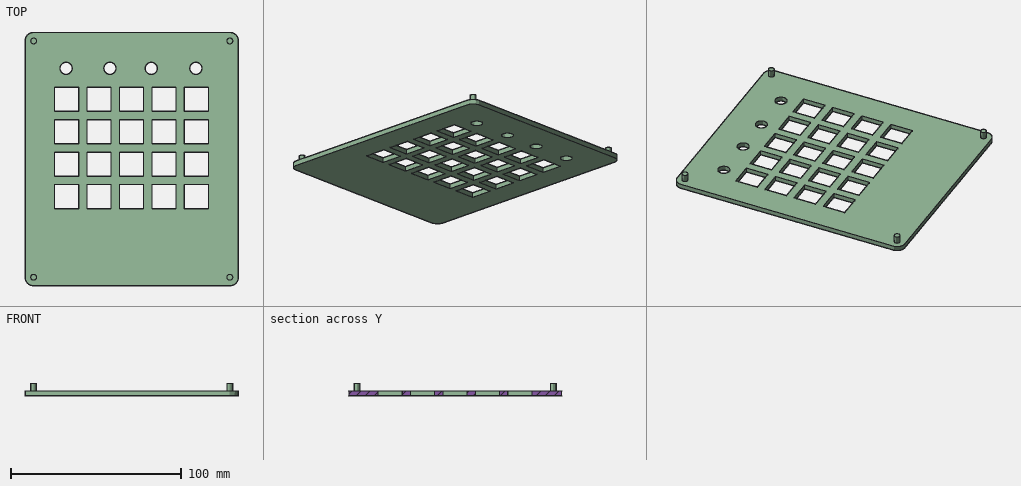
import cadquery as cq

plate_width = 125.5
plate_length = 149.0
plate_thickness = 3.0
corner_radius = 5.0

total_height = 7.5
pin_diameter = 3.5
pin_height = total_height - plate_thickness
pin_spacing_x = plate_width - 2 * corner_radius
pin_spacing_y = plate_length - 2 * corner_radius

key_columns = 5
key_rows = 4
key_pitch = 19.0
key_size = 14.0
key_grid_x = -0.1
key_grid_y = 6.5

round_hole_diameter = 7.0
round_hole_y = 53.3
round_hole_x_positions = (-38.6, -12.8, 11.5, 37.7)


def make_plate():
    """Flat plate with rounded vertical corners."""
    plate = cq.Workplane("XY").box(
        plate_width, plate_length, plate_thickness, centered=(True, True, False)
    )
    return plate.edges("|Z").fillet(corner_radius)


def cut_key_openings(body):
    """Cut the square openings right through the plate."""
    openings = (
        cq.Workplane("XY")
        .center(key_grid_x, key_grid_y)
        .rarray(key_pitch, key_pitch, key_columns, key_rows)
        .rect(key_size, key_size)
        .extrude(plate_thickness)
    )
    return body.cut(openings)


def cut_round_holes(body):
    """Cut the row of round holes right through the plate."""
    holes = (
        cq.Workplane("XY")
        .pushPoints([(x, round_hole_y) for x in round_hole_x_positions])
        .circle(round_hole_diameter / 2)
        .extrude(plate_thickness)
    )
    return body.cut(holes)


def add_pins(body):
    """Stand one pin on the top face at each corner."""
    pins = (
        cq.Workplane("XY", origin=(0, 0, plate_thickness))
        .rarray(pin_spacing_x, pin_spacing_y, 2, 2)
        .circle(pin_diameter / 2)
        .extrude(pin_height)
    )
    return body.union(pins)


result = make_plate()
result = cut_key_openings(result)
result = cut_round_holes(result)
result = add_pins(result)